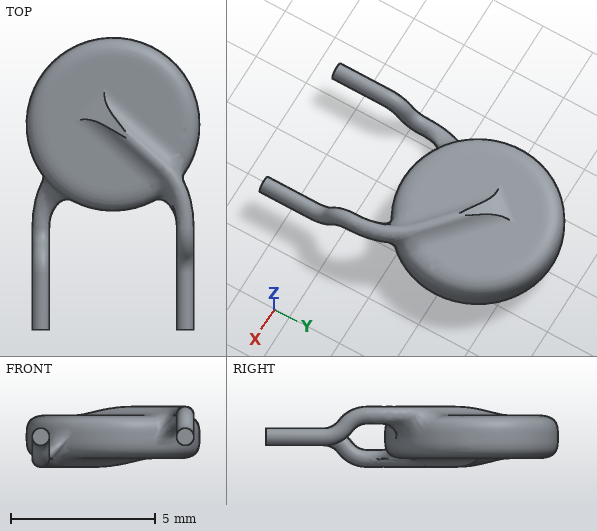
import cadquery as cq
import math

DISC_RADIUS = 3.0
DISC_THICKNESS = 1.5
HALF_THICKNESS = DISC_THICKNESS / 2
FLAT_RADIUS = DISC_RADIUS - HALF_THICKNESS

WIRE_RADIUS = 0.3
LEAD_OFFSET = 2.5
STRAIGHT_LENGTH = 2.0
OFFSET_BEND_LENGTH = 1.5
LEAD_END_Y = -7.12
MID_PLANE_Y = LEAD_END_Y + STRAIGHT_LENGTH
FACE_LEVEL_Y = MID_PLANE_Y + OFFSET_BEND_LENGTH

WIRE_ANGLE = 41.3
COAT_FILLET = 0.9
COAT_PEAK = HALF_THICKNESS + WIRE_RADIUS
NOSE_TIP = -1.123
NOSE_CREST = 0.9

ENVELOPE = 2 * abs(LEAD_END_Y)
TOLERANCE = 1e-4


def along_wire(distance, height):
    """Point on the line the wire follows across the disc face."""
    angle = math.radians(WIRE_ANGLE)
    return cq.Vector(distance * math.cos(angle), -distance * math.sin(angle), height)


def make_disc():
    """Round disc with a full rim curve, slightly squarer than a half circle."""
    return (
        cq.Workplane("XZ")
        .moveTo(0, -HALF_THICKNESS)
        .lineTo(FLAT_RADIUS, -HALF_THICKNESS)
        .spline(
            [(DISC_RADIUS, 0), (FLAT_RADIUS, HALF_THICKNESS)],
            tangents=[(1, 0), (-1, 0)],
            includeCurrent=True,
        )
        .lineTo(0, HALF_THICKNESS)
        .close()
        .revolve(360, (0, 0, 0), (0, 1, 0))
    )


def make_wire():
    """Upper lead: straight, S-bend up to the face level, curve inward, run to the nose tip."""
    lead_end = cq.Vector(LEAD_OFFSET, LEAD_END_Y, 0)
    bend_low = cq.Vector(LEAD_OFFSET, MID_PLANE_Y, 0)
    bend_high = cq.Vector(LEAD_OFFSET, FACE_LEVEL_Y, HALF_THICKNESS)
    bend_centre = (bend_low + bend_high) * 0.5
    inward_start = along_wire(FLAT_RADIUS, HALF_THICKNESS)
    inward = along_wire(-1, 0)
    plus_y = cq.Vector(0, 1, 0)
    upper_arc = cq.Edge.makeTangentArc(bend_high, plus_y * -1, bend_centre)
    path = cq.Wire.assembleEdges([
        cq.Edge.makeLine(lead_end, bend_low),
        cq.Edge.makeTangentArc(bend_low, plus_y, bend_centre),
        cq.Edge.makeThreePointArc(bend_centre, upper_arc.positionAt(0.5), bend_high),
        cq.Edge.makeSpline([bend_high, inward_start], tangents=[plus_y, inward]),
        cq.Edge.makeLine(inward_start, along_wire(NOSE_TIP, HALF_THICKNESS)),
    ])
    return (
        cq.Workplane("XZ", origin=lead_end.toTuple())
        .circle(WIRE_RADIUS)
        .sweep(cq.Workplane(obj=path))
    )


def make_nose_limit():
    """Space under the coating crest, starting at the nose tip and running outward.

    Its top edge rises from the disc face in a concave arc, then a tangent
    convex arc levels out at the full coating height.
    """
    run = NOSE_CREST - NOSE_TIP
    radii_sum = (run**2 + WIRE_RADIUS**2) / (2 * WIRE_RADIUS)
    crest_radius = radii_sum - COAT_FILLET
    sweep_angle = math.asin(run / radii_sum)

    def rise_point(angle):
        return (
            NOSE_TIP + COAT_FILLET * math.sin(angle),
            HALF_THICKNESS + COAT_FILLET * (1 - math.cos(angle)),
        )

    def crest_point(angle):
        return (
            NOSE_CREST - crest_radius * math.sin(angle),
            COAT_PEAK - crest_radius * (1 - math.cos(angle)),
        )

    return (
        cq.Workplane("XZ")
        .moveTo(NOSE_TIP, -ENVELOPE)
        .lineTo(NOSE_TIP, HALF_THICKNESS)
        .threePointArc(rise_point(sweep_angle / 2), rise_point(sweep_angle))
        .threePointArc(crest_point(sweep_angle / 2), (NOSE_CREST, COAT_PEAK))
        .lineTo(NOSE_CREST, ENVELOPE)
        .lineTo(ENVELOPE, ENVELOPE)
        .lineTo(ENVELOPE, -ENVELOPE)
        .close()
        .extrude(ENVELOPE, both=True)
        .rotate((0, 0, 0), (0, 0, 1), -WIRE_ANGLE)
    )


def lies_on(edge, body):
    """True when the edge runs along the surface of the body."""
    for position in (0.3, 0.5):
        point = edge.positionAt(position)
        vertex = cq.Vertex.makeVertex(*point.toTuple())
        if min(vertex.distance(face) for face in body.faces().vals()) > TOLERANCE:
            return False
    return True


def make_coated_lead(disc):
    """Upper lead blended into the part of the disc outward of the nose tip."""
    outward_half = (
        cq.Workplane("XY")
        .box(ENVELOPE, ENVELOPE, ENVELOPE)
        .translate((NOSE_TIP + ENVELOPE / 2, 0, 0))
        .rotate((0, 0, 0), (0, 0, 1), -WIRE_ANGLE)
    )
    segment = disc.intersect(outward_half)
    wire = make_wire()
    joined = segment.union(wire)

    direction = along_wire(1, 0)
    seams = [
        edge
        for edge in joined.edges().vals()
        if abs(edge.positionAt(0.5).dot(direction) - NOSE_TIP) > TOLERANCE
        and lies_on(edge, segment)
        and lies_on(edge, wire)
    ]
    blended = cq.Workplane(obj=joined.val().fillet(COAT_FILLET, seams))
    return blended.intersect(make_nose_limit())


disc_body = make_disc()
upper_lead = make_coated_lead(disc_body)
lower_lead = upper_lead.rotate((0, 0, 0), (0, 1, 0), 180)
result = disc_body.union(upper_lead).union(lower_lead)